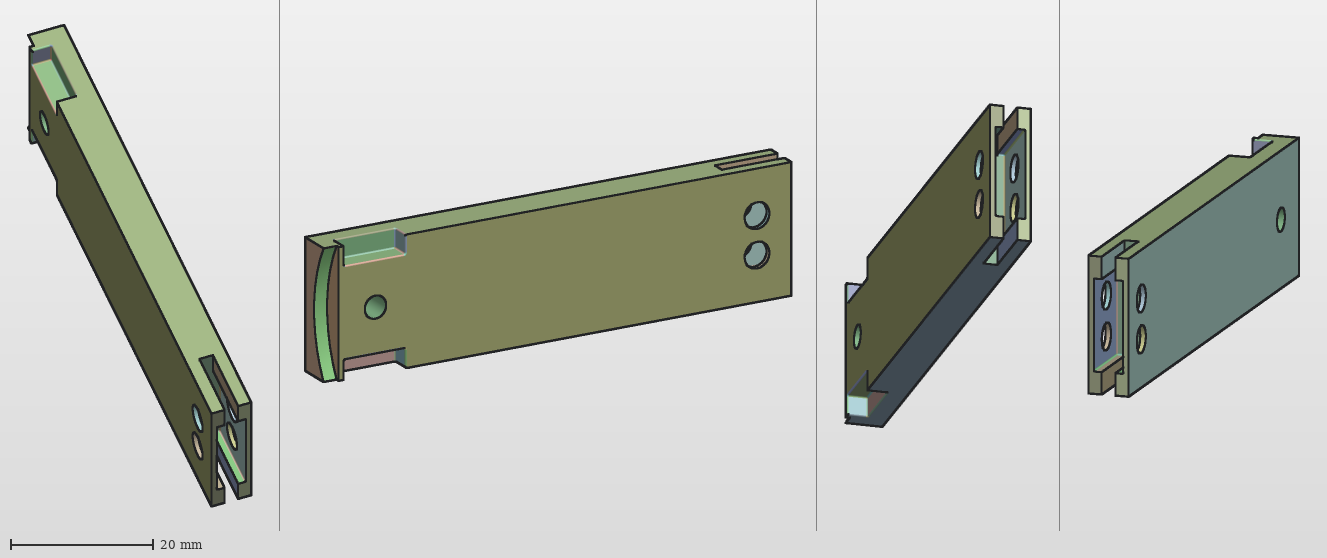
import cadquery as cq

length = 75.0
thickness = 6.0
height = 20.0
front_y = -thickness / 2

recess_length = 2.1
recess_edge_depth = 0.6
recess_centre_depth = 3.4

pocket_start = 3.0
pocket_length = 9.9
pocket_depth = 3.0
pocket_fillet = 0.2

slot_length = 10.1
slot_width = 2.0

cavity_wall = 0.8
cavity_width = thickness - 2 * cavity_wall
cavity_height = 13.5
cavity_fillet = 0.2

left_hole_x = 8.0
left_hole_diameter = 3.45
right_hole_x = length - 5.55
right_hole_diameter = 4.0
right_hole_spacing = 5.9


def make_plate():
    return cq.Workplane("XY").box(length, thickness, height, centered=(False, True, True))


def make_end_recess():
    edge_y = front_y + recess_edge_depth
    return (
        cq.Workplane("YZ")
        .moveTo(front_y, -height / 2)
        .lineTo(edge_y, -height / 2)
        .threePointArc((front_y + recess_centre_depth, 0), (edge_y, height / 2))
        .lineTo(front_y, height / 2)
        .close()
        .extrude(recess_length)
    )


def cut_edge_pocket(plate, side):
    """Cut a pocket and round its inner and mouth edges; side is +1 for the upper edge, -1 for the lower."""
    size = 2 * pocket_depth
    centre = cq.Vector(pocket_start + pocket_length / 2, front_y, side * height / 2)
    block = cq.Workplane("XY").box(pocket_length, size, size).translate(centre)
    reach = cq.Vector(pocket_length, size, size) / 2 + cq.Vector(1, 1, 1) * pocket_fillet
    pocket_edges = cq.selectors.BoxSelector(
        (centre - reach).toTuple(), (centre + reach).toTuple(), boundingbox=True
    )
    return plate.cut(block).edges(pocket_edges).fillet(pocket_fillet)


def make_end_slot():
    slot = cq.Workplane("XY").box(slot_length, slot_width, height)
    cavity = cq.Workplane("XY").box(slot_length, cavity_width, cavity_height)
    cavity = cavity.edges("|X or <X").fillet(cavity_fillet)
    return slot.union(cavity).translate((length - slot_length / 2, 0, 0))


def make_hole(x, z, diameter):
    return (
        cq.Workplane("XZ")
        .center(x, z)
        .circle(diameter / 2)
        .extrude(thickness / 2, both=True)
    )


result = make_plate().cut(make_end_recess())
for side in (1, -1):
    result = cut_edge_pocket(result, side)
result = result.cut(make_end_slot())
result = result.cut(make_hole(left_hole_x, 0, left_hole_diameter))
for side in (1, -1):
    result = result.cut(make_hole(right_hole_x, side * right_hole_spacing / 2, right_hole_diameter))